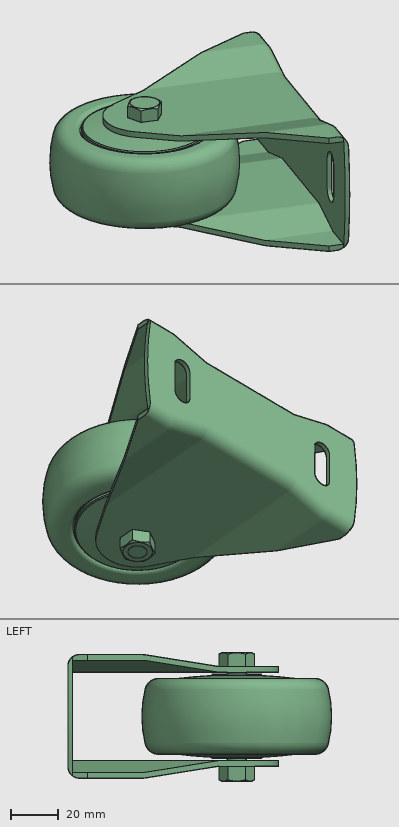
import cadquery as cq
import math


CHEEK_THICKNESS = 2.5
PLATE_THICKNESS = 2.0
PLATE_LENGTH = 119.6
PLATE_WIDTH = 52.0
PLATE_END_SAG = 2.3
PLATE_BACK_Y = 71.0
CHEEK_OUTER_WIDTH = 42.0
CHEEK_BEND_X = 25.0
WING_BEND_X = 43.7
BEND_RADIUS = 5.0
CHEEK_NOSE_RADIUS = 17.6
CHEEK_STRAIGHT_SIDE = 8.4
CHEEK_HALF_LENGTH = PLATE_LENGTH / 2 - PLATE_END_SAG

SLOT_WIDTH = 8.5
SLOT_LENGTH = 22.5
SLOT_X = 40.0

WHEEL_DIAMETER = 79.8
TYRE_WIDTH = 32.0
TREAD_WIDTH = 22.7
TREAD_EDGE_RADIUS = 38.5
TYRE_FACE_OUTER_RADIUS = 32.7
SHOULDER_RADIUS = 6.0
TYRE_FACE_INNER_RADIUS = 29.2
LIP_RADIUS = 2.0
HUB_RADIUS = 53.0 / 2
HUB_EDGE_CHAMFER = 0.5
HUB_EDGE_HEIGHT = 15.8
HUB_CROWN_HEIGHT = 17.5
BUSH_DIAMETER = 20.8
BUSH_WIDTH = 35.4

BOLT_DIAMETER = 8.0
HEX_ACROSS_FLATS = 13.0
HEX_FACE_DIAMETER = 12.5
HEX_CHAMFER_ANGLE = 30.0
HEAD_HEIGHT = 5.9
NUT_HEIGHT = 6.3
CHEEK_OUTER_Z = CHEEK_OUTER_WIDTH / 2


def axial_cylinder(diameter, bottom, top):
    """Round bar on the wheel axis between two heights."""
    return cq.Workplane("XY").workplane(offset=bottom).circle(diameter / 2).extrude(top - bottom)


def sheet_section(inset):
    """Solid block whose waisted section is the bracket's outer section moved inward by inset."""
    bend_angle = math.atan2(PLATE_WIDTH - CHEEK_OUTER_WIDTH, 2 * (WING_BEND_X - CHEEK_BEND_X))
    bend_shift = inset * math.tan(bend_angle / 2)
    wing_z = PLATE_WIDTH / 2 - inset
    cheek_z = CHEEK_OUTER_Z - inset
    end_x = PLATE_LENGTH / 2
    wing_x = WING_BEND_X - bend_shift
    cheek_x = CHEEK_BEND_X - bend_shift
    upper_edge = [(-end_x, wing_z), (-wing_x, wing_z), (-cheek_x, cheek_z),
                  (cheek_x, cheek_z), (wing_x, wing_z), (end_x, wing_z)]
    lower_edge = [(x, -z) for x, z in reversed(upper_edge)]
    depth = PLATE_BACK_Y + CHEEK_NOSE_RADIUS
    return (cq.Workplane("XZ", origin=(0, PLATE_BACK_Y, 0))
            .polyline(upper_edge + lower_edge).close().extrude(depth))


def round_bends(block, bend_x):
    """Round the convex or concave bend lines that run along Y at the given distance from centre."""
    reach = 0.6
    for side in (-1, 1):
        centre = side * bend_x
        low = (centre - reach, -PLATE_LENGTH, -PLATE_WIDTH)
        high = (centre + reach, PLATE_LENGTH, PLATE_WIDTH)
        block = block.edges("|Y").edges(cq.selectors.BoxSelector(low, high)).fillet(BEND_RADIUS)
    return block


def cheek_outline():
    """Tapered cheek outline seen along the axle, extruded through the whole bracket."""
    corner_y = PLATE_BACK_Y - CHEEK_STRAIGHT_SIDE
    corner_distance = math.hypot(CHEEK_HALF_LENGTH, corner_y)
    tangent_angle = (math.atan2(corner_y, CHEEK_HALF_LENGTH)
                     - math.acos(CHEEK_NOSE_RADIUS / corner_distance))
    tangent_x = CHEEK_NOSE_RADIUS * math.cos(tangent_angle)
    tangent_y = CHEEK_NOSE_RADIUS * math.sin(tangent_angle)
    return (cq.Workplane("XY").workplane(offset=-PLATE_WIDTH / 2)
            .moveTo(-CHEEK_HALF_LENGTH, PLATE_BACK_Y)
            .lineTo(-CHEEK_HALF_LENGTH, corner_y)
            .lineTo(-tangent_x, tangent_y)
            .threePointArc((0, -CHEEK_NOSE_RADIUS), (tangent_x, tangent_y))
            .lineTo(CHEEK_HALF_LENGTH, corner_y)
            .lineTo(CHEEK_HALF_LENGTH, PLATE_BACK_Y)
            .close().extrude(PLATE_WIDTH))


def plate_outline():
    """Mounting plate with bowed ends."""
    half_width = PLATE_WIDTH / 2
    return (cq.Workplane("XZ", origin=(0, PLATE_BACK_Y, 0))
            .moveTo(-CHEEK_HALF_LENGTH, half_width)
            .lineTo(CHEEK_HALF_LENGTH, half_width)
            .threePointArc((PLATE_LENGTH / 2, 0), (CHEEK_HALF_LENGTH, -half_width))
            .lineTo(-CHEEK_HALF_LENGTH, -half_width)
            .threePointArc((-PLATE_LENGTH / 2, 0), (-CHEEK_HALF_LENGTH, half_width))
            .close().extrude(PLATE_THICKNESS))


def make_bracket():
    """U-shaped sheet metal bracket with two cheeks and a slotted mounting plate."""
    outside = round_bends(sheet_section(0), WING_BEND_X)
    long_edges = outside.faces(">Y").edges("not |Z")
    outside = outside.newObject(long_edges.vals()).fillet(BEND_RADIUS)

    inside = round_bends(sheet_section(CHEEK_THICKNESS), CHEEK_BEND_X)
    shell = outside.cut(inside.translate((0, -PLATE_THICKNESS, 0)))
    bracket = shell.intersect(cheek_outline().union(plate_outline()))

    slots = (cq.Workplane("XZ", origin=(0, PLATE_BACK_Y, 0))
             .pushPoints([(-SLOT_X, 0), (SLOT_X, 0)])
             .slot2D(SLOT_LENGTH, SLOT_WIDTH, 90).extrude(PLATE_THICKNESS))
    axle_holes = axial_cylinder(BOLT_DIAMETER, -CHEEK_OUTER_Z, CHEEK_OUTER_Z)
    return bracket.cut(slots).cut(axle_holes)


def make_wheel():
    """Wheel with a crowned tread, a groove round the domed hub and a bored centre bush."""
    face_z = TYRE_WIDTH / 2
    groove_z = face_z - LIP_RADIUS
    tread_z = TREAD_WIDTH / 2
    lip_inner_radius = TYRE_FACE_INNER_RADIUS - LIP_RADIUS
    dome_radius = HUB_RADIUS - HUB_EDGE_CHAMFER
    dome_drop = HUB_CROWN_HEIGHT - HUB_EDGE_HEIGHT
    sphere_radius = (dome_radius**2 + dome_drop**2) / (2 * dome_drop)

    def dome_height(radius):
        return HUB_CROWN_HEIGHT - sphere_radius + math.sqrt(sphere_radius**2 - radius**2)

    middle_radius = dome_radius / 2
    middle_height = dome_height(middle_radius)
    wheel = (cq.Workplane("XZ")
             .moveTo(TREAD_EDGE_RADIUS, -tread_z)
             .threePointArc((WHEEL_DIAMETER / 2, 0), (TREAD_EDGE_RADIUS, tread_z))
             .radiusArc((TYRE_FACE_OUTER_RADIUS, face_z), -SHOULDER_RADIUS)
             .lineTo(TYRE_FACE_INNER_RADIUS, face_z)
             .radiusArc((lip_inner_radius, groove_z), -LIP_RADIUS)
             .lineTo(HUB_RADIUS, groove_z)
             .lineTo(HUB_RADIUS, HUB_EDGE_HEIGHT - HUB_EDGE_CHAMFER)
             .lineTo(dome_radius, HUB_EDGE_HEIGHT)
             .threePointArc((middle_radius, middle_height), (0, HUB_CROWN_HEIGHT))
             .lineTo(0, -HUB_CROWN_HEIGHT)
             .threePointArc((middle_radius, -middle_height), (dome_radius, -HUB_EDGE_HEIGHT))
             .lineTo(HUB_RADIUS, HUB_EDGE_CHAMFER - HUB_EDGE_HEIGHT)
             .lineTo(HUB_RADIUS, -groove_z)
             .lineTo(lip_inner_radius, -groove_z)
             .radiusArc((TYRE_FACE_INNER_RADIUS, -face_z), -LIP_RADIUS)
             .lineTo(TYRE_FACE_OUTER_RADIUS, -face_z)
             .radiusArc((TREAD_EDGE_RADIUS, -tread_z), -SHOULDER_RADIUS)
             .close().revolve(360, (0, 0, 0), (0, 1, 0)))
    wheel = wheel.union(axial_cylinder(BUSH_DIAMETER, -BUSH_WIDTH / 2, BUSH_WIDTH / 2))
    return wheel.cut(axial_cylinder(BOLT_DIAMETER, -BUSH_WIDTH / 2, BUSH_WIDTH / 2))


def hexagon(height):
    """Hexagonal prism standing on the XY plane, corners chamfered at its top face."""
    corner_radius = HEX_ACROSS_FLATS / math.sqrt(3)
    face_radius = HEX_FACE_DIAMETER / 2
    chamfer_drop = (corner_radius - face_radius) * math.tan(math.radians(HEX_CHAMFER_ANGLE))
    prism = (cq.Workplane("XY").polygon(6, 2 * corner_radius).extrude(height)
             .rotate((0, 0, 0), (0, 0, 1), 90))
    envelope = (cq.Workplane("XZ")
                .polyline([(0, 0), (corner_radius, 0), (corner_radius, height - chamfer_drop),
                           (face_radius, height), (0, height)])
                .close().revolve(360, (0, 0, 0), (0, 1, 0)))
    return prism.intersect(envelope)


def make_bolt():
    """Hexagon head bolt whose shank ends flush with the nut."""
    head = hexagon(HEAD_HEIGHT).translate((0, 0, CHEEK_OUTER_Z))
    return head.union(axial_cylinder(BOLT_DIAMETER, -CHEEK_OUTER_Z - NUT_HEIGHT, CHEEK_OUTER_Z))


def make_nut():
    """Hexagon nut under the lower cheek, chamfered on its outer face."""
    nut = hexagon(NUT_HEIGHT).cut(axial_cylinder(BOLT_DIAMETER, 0, NUT_HEIGHT))
    return nut.mirror("XY").translate((0, 0, -CHEEK_OUTER_Z))


bracket = make_bracket()
wheel = make_wheel()
bolt = make_bolt()
nut = make_nut()
result = cq.Compound.makeCompound([bracket.val(), wheel.val(), bolt.val(), nut.val()])